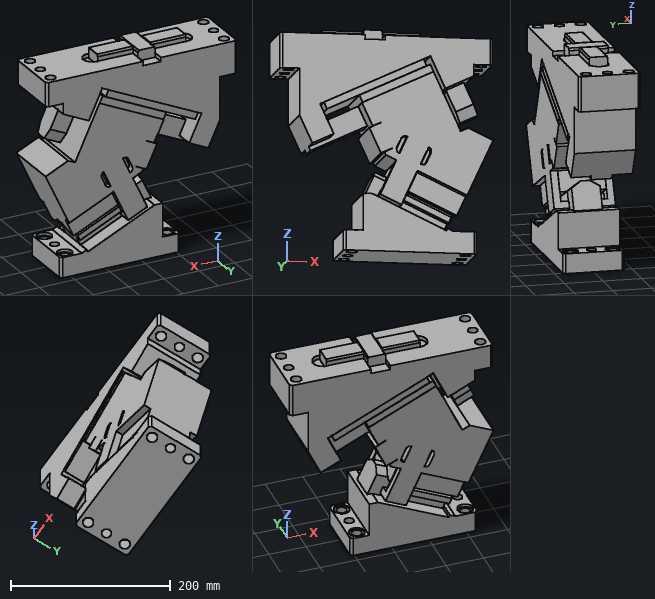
import cadquery as cq
import math

WIDTH = 79.5
HALF_WIDTH = WIDTH / 2
HEIGHT = 284.0
TILT = 25.0
CORNER_CHAMFER = 3.0
SCREW_HOLE = 13.3
DOWEL_HOLE = 12.2
SCREW_SPACING = 55.0
HOLE_INSET = 12.5

COS = math.cos(math.radians(TILT))
SIN = math.sin(math.radians(TILT))

GUIDE_X, GUIDE_Z = 50.5, 185.0
DRIVER_X, DRIVER_Z = 111.5, 75.3


def guide(u, n):
    """X, Z of a point given in the guide frame."""
    return (GUIDE_X + u * COS - n * SIN, GUIDE_Z + u * SIN + n * COS)


def driver(v, m):
    """X, Z of a point given in the driver frame."""
    return (DRIVER_X + v * COS + m * SIN, DRIVER_Z - v * SIN + m * COS)


def crossing(point_a, angle_a, point_b, angle_b):
    """Where two lines cross, each given by a point and an angle in degrees."""
    ax, az = math.cos(math.radians(angle_a)), math.sin(math.radians(angle_a))
    bx, bz = math.cos(math.radians(angle_b)), math.sin(math.radians(angle_b))
    dx, dz = point_b[0] - point_a[0], point_b[1] - point_a[1]
    along = (dx * bz - dz * bx) / (ax * bz - az * bx)
    return (point_a[0] + along * ax, point_a[1] + along * az)


def side_prism(points, half_width):
    """Outline in X, Z extruded to both sides of the middle plane."""
    return cq.Workplane("XZ").polyline(points).close().extrude(half_width, both=True)


def guide_block(u_start, u_end, n_low, n_high, half_width):
    """Block lined up with the guide slope."""
    corners = [(u_start, n_low), (u_end, n_low), (u_end, n_high), (u_start, n_high)]
    return side_prism([guide(u, n) for u, n in corners], half_width)


def driver_block(v_start, v_end, m_low, m_high, half_width):
    """Block lined up with the driver slope."""
    corners = [(v_start, m_low), (v_end, m_low), (v_end, m_high), (v_start, m_high)]
    return side_prism([driver(v, m) for v, m in corners], half_width)


def driver_section(points, v_start, v_end):
    """Outline in Y, m extruded along the driver slope."""
    x, z = driver(v_start, 0)
    plane = cq.Plane(origin=(x, 0, z), xDir=(0, 1, 0), normal=(COS, 0, -SIN))
    return cq.Workplane(plane).polyline(points).close().extrude(v_end - v_start)


def vertical_holes(places, diameter, z_low, z_high):
    """Upright cylinders to cut away."""
    plane = cq.Workplane("XY", origin=(0, 0, z_low))
    return plane.pushPoints(places).circle(diameter / 2).extrude(z_high - z_low)


HOLDER_LENGTH = 270.5
HOLDER_TOP = 275.0
LEFT_FLANGE_LENGTH = 24.5
LEFT_FLANGE_BOTTOM = 229.5
RIGHT_FLANGE_LENGTH = 24.0
RIGHT_FLANGE_BOTTOM = 241.5
POCKET_LENGTH = 155.0
LEG_THICKNESS = 30.0
LEG_DEPTH = 41.5
RIGHT_WALL_DEPTH = 45.0

WEAR_PLATE_START, WEAR_PLATE_END = 5.5, 145.5
WEAR_PLATE_THICKNESS = 9.5
WEAR_PLATE_PROUD = 0.15

BAR_TOP, BAR_BOTTOM = -19.5, -47.0
BAR_HALF_WIDTH = 13.5

HOOK_START, HOOK_END = 161.0, 186.3
HOOK_BOTTOM = -89.5
HOOK_BEVEL_START = -74.7
HOOK_HALF_WIDTH = BAR_HALF_WIDTH
HOOK_TIP_HALF_WIDTH = 8.5
HOOK_ROOT = 2.8

KEY_CENTER_X = 120.7
KEY_WIDTH = 24.5
KEYWAY_WIDTH = 25.3
KEYWAY_DEPTH = 5.7
LONG_KEY_LENGTH = 125.0
LONG_KEYWAY_LENGTH = 152.2
CROSS_KEY_LENGTH = 50.5
KEY_HEIGHT = HEIGHT - HOLDER_TOP + KEYWAY_DEPTH
KEY_BEVEL_WIDTH = 1.0
KEY_BEVEL_HEIGHT = 3.0


def make_holder():
    wall_x = HOLDER_LENGTH - RIGHT_FLANGE_LENGTH
    outline = [
        (0, HOLDER_TOP),
        (0, LEFT_FLANGE_BOTTOM),
        (LEFT_FLANGE_LENGTH, LEFT_FLANGE_BOTTOM),
        crossing(guide(-LEG_THICKNESS, 0), TILT + 90, (LEFT_FLANGE_LENGTH, 0), 90),
        guide(-LEG_THICKNESS, -LEG_DEPTH),
        guide(0, -LEG_DEPTH),
        guide(0, 0),
        guide(POCKET_LENGTH, 0),
        guide(POCKET_LENGTH, -RIGHT_WALL_DEPTH),
        crossing(guide(0, -RIGHT_WALL_DEPTH), TILT, (wall_x, 0), 90),
        (wall_x, RIGHT_FLANGE_BOTTOM),
        (HOLDER_LENGTH, RIGHT_FLANGE_BOTTOM),
        (HOLDER_LENGTH, HOLDER_TOP),
    ]
    body = side_prism(outline, HALF_WIDTH)
    body = body.edges("|Z").edges("<X or >X").chamfer(CORNER_CHAMFER)
    plate_half_width = HALF_WIDTH + WEAR_PLATE_PROUD
    body = body.union(guide_block(WEAR_PLATE_START, WEAR_PLATE_END, -WEAR_PLATE_THICKNESS, 0, plate_half_width))
    body = body.union(guide_block(-LEG_THICKNESS, HOOK_START, BAR_BOTTOM, BAR_TOP, BAR_HALF_WIDTH))
    body = body.union(make_hook())
    body = body.cut(make_keyways()).union(make_keys())
    row = SCREW_SPACING / 2
    for x in (HOLE_INSET, HOLDER_LENGTH - HOLE_INSET):
        body = body.cut(vertical_holes([(x, -row), (x, row)], SCREW_HOLE, LEFT_FLANGE_BOTTOM, HOLDER_TOP))
        body = body.cut(vertical_holes([(x, 0)], DOWEL_HOLE, LEFT_FLANGE_BOTTOM, HOLDER_TOP))
    return body


def make_hook():
    """Stop hook behind the pocket, narrowing across the width towards its tip."""
    top = -RIGHT_WALL_DEPTH + HOOK_ROOT
    hook = [
        (-HOOK_TIP_HALF_WIDTH, HOOK_BOTTOM),
        (HOOK_TIP_HALF_WIDTH, HOOK_BOTTOM),
        (HOOK_HALF_WIDTH, HOOK_BEVEL_START),
        (HOOK_HALF_WIDTH, top),
        (-HOOK_HALF_WIDTH, top),
        (-HOOK_HALF_WIDTH, HOOK_BEVEL_START),
    ]
    x, z = guide(HOOK_START, 0)
    plane = cq.Plane(origin=(x, 0, z), xDir=(0, 1, 0), normal=(COS, 0, SIN))
    return cq.Workplane(plane).polyline(hook).close().extrude(HOOK_END - HOOK_START)


def make_keyways():
    """Round-ended keyway along X and a straight one across the full width."""
    floor = cq.Workplane("XY", origin=(KEY_CENTER_X, 0, HOLDER_TOP - KEYWAY_DEPTH))
    long_keyway = floor.slot2D(LONG_KEYWAY_LENGTH, KEYWAY_WIDTH).extrude(KEYWAY_DEPTH)
    cross_keyway = floor.rect(KEYWAY_WIDTH, WIDTH).extrude(KEYWAY_DEPTH)
    return long_keyway.union(cross_keyway)


def key_bar(length):
    """Straight key along X, centred at the origin, with both long top edges bevelled."""
    half = KEY_WIDTH / 2
    half_top = half - KEY_BEVEL_WIDTH
    shoulder = KEY_HEIGHT - KEY_BEVEL_HEIGHT
    section = [
        (-half, 0),
        (half, 0),
        (half, shoulder),
        (half_top, KEY_HEIGHT),
        (-half_top, KEY_HEIGHT),
        (-half, shoulder),
    ]
    return cq.Workplane("YZ").polyline(section).close().extrude(length / 2, both=True)


def make_keys():
    """Long key with a cross key let into it."""
    cross_key = key_bar(CROSS_KEY_LENGTH).rotate((0, 0, 0), (0, 0, 1), 90)
    crossing_gap = cq.Workplane("XY").rect(KEY_WIDTH, WIDTH).extrude(KEY_HEIGHT)
    keys = key_bar(LONG_KEY_LENGTH).cut(crossing_gap).union(cross_key)
    return keys.translate((KEY_CENTER_X, 0, HOLDER_TOP - KEYWAY_DEPTH))


RAIL_LENGTH = 109.5
RAIL_TOP = 35.0
RAIL_TOP_HALF_WIDTH = 6.0
RAIL_HEAD_HALF_WIDTH = 28.0
RAIL_HEAD_EDGE = 21.0
RAIL_HEAD_UNDERSIDE = 13.0
RAIL_NECK_HALF_WIDTH = 18.5
RAIL_HEAD_START = 23.5
RAIL_ROOT = 5.7


def gable(half_width, bottom, v_start, v_end):
    """Bar along the driver slope with upright sides under the rail's ridged top."""
    roof_slope = (RAIL_TOP - RAIL_HEAD_EDGE) / (RAIL_HEAD_HALF_WIDTH - RAIL_TOP_HALF_WIDTH)
    eaves = RAIL_TOP - roof_slope * (half_width - RAIL_TOP_HALF_WIDTH)
    points = [
        (-half_width, bottom),
        (half_width, bottom),
        (half_width, eaves),
        (RAIL_TOP_HALF_WIDTH, RAIL_TOP),
        (-RAIL_TOP_HALF_WIDTH, RAIL_TOP),
        (-half_width, eaves),
    ]
    return driver_section(points, v_start, v_end)


SLIDER_LEFT, SLIDER_RIGHT = 49.7, 150.2
SOLE_LEFT = 50.5
SOLE_CLEARANCE = 0.3
SOLE_TOP = -WEAR_PLATE_THICKNESS - SOLE_CLEARANCE
SOLE_PROUD = 0.3
PAD_TOP, PAD_BOTTOM = -52.0, -87.5
PAD_LEFT = 45.0
PAD_SLIT_END = 60.8
SLIT = 0.3
NOTCH_N = -101.7
SHOULDER_M = 131.5
SLIDER_END = 115.0
SKIRT_M = 52.5
FOOT_BOTTOM = 25.5
FOOT_START = 16.2
FOOT_HALF_WIDTH = 30.0
CLAMP_START, CLAMP_END = 15.3, 45.5
CLAMP_BOTTOM = 4.0
CLAMP_TIP_HALF_WIDTH = 20.0
RECESS_START, RECESS_END = 9.5, 50.8
RECESS_LOW, RECESS_HIGH = 62.2, 86.0
RECESS_RADIUS = 5.0


def make_slider():
    outline = [
        guide(SLIDER_LEFT, BAR_TOP),
        guide(SLIDER_LEFT, PAD_TOP),
        guide(PAD_LEFT, PAD_TOP),
        guide(PAD_LEFT, PAD_BOTTOM),
        guide(SLIDER_LEFT, PAD_BOTTOM),
        crossing(guide(SLIDER_LEFT, 0), TILT + 90, driver(0, SKIRT_M), -TILT),
        driver(SLIDER_END, SKIRT_M),
        driver(SLIDER_END, SHOULDER_M),
        crossing(guide(0, NOTCH_N), TILT, driver(0, SHOULDER_M), -TILT),
        guide(SLIDER_RIGHT, NOTCH_N),
        guide(SLIDER_RIGHT, BAR_TOP),
    ]
    body = side_prism(outline, HALF_WIDTH)
    body = body.union(driver_block(FOOT_START, SLIDER_END, FOOT_BOTTOM, SKIRT_M, FOOT_HALF_WIDTH))
    sole_half_width = HALF_WIDTH + SOLE_PROUD
    body = body.union(guide_block(SOLE_LEFT, SLIDER_RIGHT, BAR_TOP, SOLE_TOP, sole_half_width))
    body = body.cut(gable(RAIL_HEAD_HALF_WIDTH, RAIL_HEAD_UNDERSIDE, 0, SLIDER_END))
    body = body.cut(guide_block(0, POCKET_LENGTH, BAR_BOTTOM, BAR_TOP, BAR_HALF_WIDTH))
    for slit_n in (PAD_TOP, PAD_BOTTOM):
        body = body.cut(guide_block(PAD_LEFT, PAD_SLIT_END, slit_n - SLIT / 2, slit_n + SLIT / 2, HALF_WIDTH))
    for side in (-1, 1):
        body = body.cut(make_recess(side)).union(make_clamp(side))
    return body


def make_clamp(side):
    """Side strip let into the slider, with a tip that hooks under the rail head."""
    points = [
        (side * HALF_WIDTH, CLAMP_BOTTOM),
        (side * CLAMP_TIP_HALF_WIDTH, CLAMP_BOTTOM),
        (side * CLAMP_TIP_HALF_WIDTH, RAIL_HEAD_UNDERSIDE),
        (side * FOOT_HALF_WIDTH, RAIL_HEAD_UNDERSIDE),
        (side * FOOT_HALF_WIDTH, RECESS_HIGH),
        (side * HALF_WIDTH, RECESS_HIGH),
    ]
    return driver_section(points, CLAMP_START, CLAMP_END)


def make_recess(side):
    """Rounded side recess around the upper end of a clamp strip."""
    x, z = driver((RECESS_START + RECESS_END) / 2, (RECESS_LOW + RECESS_HIGH) / 2)
    plane = cq.Plane(origin=(x, side * HALF_WIDTH, z), xDir=(COS, 0, -SIN), normal=(0, -1, 0))
    return (
        cq.Workplane(plane)
        .rect(RECESS_END - RECESS_START, RECESS_HIGH - RECESS_LOW)
        .extrude(side * (HALF_WIDTH - FOOT_HALF_WIDTH))
        .edges("|Y")
        .fillet(RECESS_RADIUS)
    )


BASE_START, BASE_END = 80.7, 250.2
LEFT_FOOT_TOP = 25.8
RIGHT_FOOT_TOP = 28.5
TOWER_X = 105.5
TOWER_TOP = 72.7
LIP_START = 110.2
LIP_HEIGHT = 3.5
COUNTERBORE = 20.0
COUNTERBORE_FLOOR = 24.5


def make_base():
    outline = [
        (BASE_START, 0),
        (BASE_START, LEFT_FOOT_TOP),
        (TOWER_X, LEFT_FOOT_TOP),
        (TOWER_X, TOWER_TOP),
        crossing((0, TOWER_TOP), 0, driver(0, 0), -TILT),
        driver(LIP_START, 0),
        driver(LIP_START, LIP_HEIGHT),
        crossing((0, RIGHT_FOOT_TOP), 0, driver(0, LIP_HEIGHT), -TILT),
        (BASE_END, RIGHT_FOOT_TOP),
        (BASE_END, 0),
    ]
    body = side_prism(outline, HALF_WIDTH)
    body = body.edges("|Z").edges("<X or >X").chamfer(CORNER_CHAMFER)
    body = body.union(gable(RAIL_NECK_HALF_WIDTH, -RAIL_ROOT, 0, RAIL_LENGTH))
    body = body.union(gable(RAIL_HEAD_HALF_WIDTH, RAIL_HEAD_UNDERSIDE, RAIL_HEAD_START, RAIL_LENGTH))
    row = SCREW_SPACING / 2
    for x, z in ((BASE_START + HOLE_INSET, LEFT_FOOT_TOP), (BASE_END - HOLE_INSET, RIGHT_FOOT_TOP)):
        places = [(x, -row), (x, row)]
        body = body.cut(vertical_holes(places, SCREW_HOLE, 0, z))
        body = body.cut(vertical_holes(places, COUNTERBORE, COUNTERBORE_FLOOR, z))
        body = body.cut(vertical_holes([(x, 0)], DOWEL_HOLE, 0, z))
    return body


holder = make_holder()
slider = make_slider()
base = make_base()
result = cq.Compound.makeCompound([holder.val(), slider.val(), base.val()])